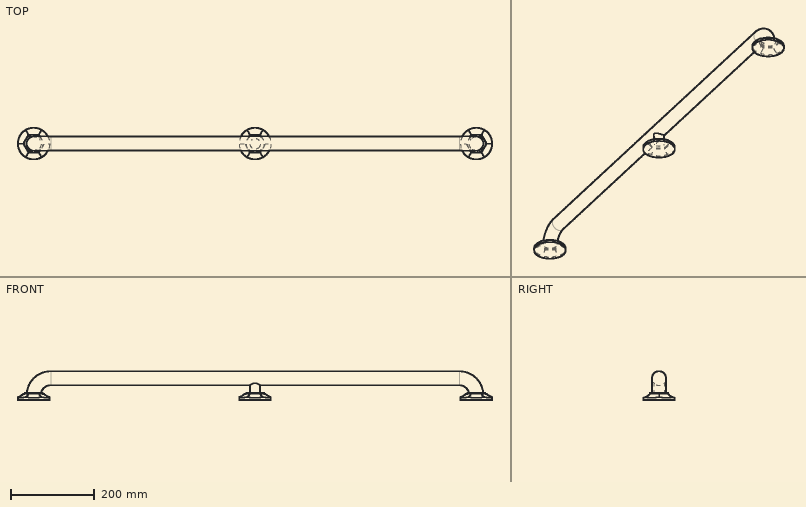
import cadquery as cq
import math

length = 1143.0
height = 70.0
flange_diameter = 77.0

tube_diameter = 34.0
bend_radius = 41.0
rail_z = height - tube_diameter / 2
foot_x = (length - flange_diameter) / 2
foot_z = rail_z - bend_radius
straight_half = foot_x - bend_radius

rim_height = 6.0
skirt_top = 15.0
skirt_top_half_width = 22.0
skirt_mid_half_width = 29.0
skirt_mid_height = 9.0
collar_radius = 22.0
collar_top = 17.0
skirt_sides = 6

post_diameter = 25.0


def make_skirt_ridge():
    """Long bar whose concave sides give one opposite pair of skirt faces."""
    rim_radius = flange_diameter / 2
    return (
        cq.Workplane("YZ")
        .moveTo(-rim_radius, 0)
        .lineTo(rim_radius, 0)
        .lineTo(rim_radius, rim_height)
        .threePointArc((skirt_mid_half_width, skirt_mid_height), (skirt_top_half_width, skirt_top))
        .lineTo(-skirt_top_half_width, skirt_top)
        .threePointArc((-skirt_mid_half_width, skirt_mid_height), (-rim_radius, rim_height))
        .close()
        .extrude(flange_diameter, both=True)
    )


def make_flange():
    """Six-sided flared skirt trimmed to a round rim, with a round collar on top."""
    flange = cq.Workplane("XY").circle(flange_diameter / 2).extrude(skirt_top)
    ridge = make_skirt_ridge()
    for pair in range(skirt_sides // 2):
        flange = flange.intersect(ridge.rotate((0, 0, 0), (0, 0, 1), pair * 360 / skirt_sides))
    collar = cq.Workplane("XY").circle(collar_radius).extrude(collar_top)
    return flange.union(collar)


def make_rail():
    """Round tube outline swept up one foot, along the rail and down the other."""
    bend_offset = bend_radius * math.sqrt(0.5)
    bend_mid_x = straight_half + bend_offset
    bend_mid_z = foot_z + bend_offset
    path = (
        cq.Workplane("XZ")
        .moveTo(-foot_x, 0)
        .lineTo(-foot_x, foot_z)
        .threePointArc((-bend_mid_x, bend_mid_z), (-straight_half, rail_z))
        .lineTo(straight_half, rail_z)
        .threePointArc((bend_mid_x, bend_mid_z), (foot_x, foot_z))
        .lineTo(foot_x, 0)
    )
    return cq.Workplane("XY", origin=(-foot_x, 0, 0)).circle(tube_diameter / 2).sweep(path)


def make_post():
    """Round post rising from the middle flange into the rail."""
    return cq.Workplane("XY").circle(post_diameter / 2).extrude(rail_z)


result = make_rail().union(make_post())
flange = make_flange()
for flange_x in (-foot_x, 0, foot_x):
    result = result.union(flange.translate((flange_x, 0, 0)))